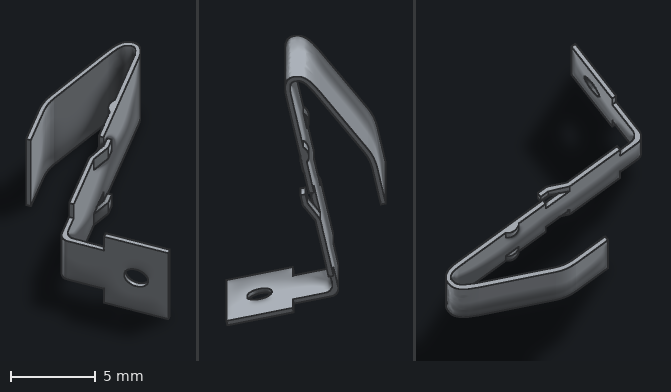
import cadquery as cq
import math

thickness = 0.3
clip_length = 14.85
strip_width = 6.0

foot_end = 6.8
foot_pad_length = 4.01
hole_diameter = 1.5
hole_edge_distance = 2.0
corner_radius = 0.5

neck_width = 3.49
neck_top = 1.81

arm_offset = 4.0
arm_bottom = 5.72
arm_angle = math.radians(25.3)
arm_bend_radius = 3.0
arm_bend_start = 8.08
arm_slope_end = 13.56

hairpin_crest_x = -0.39
hairpin_wall_end = 13.75

edge_depth = 1.0
tab_root = 5.52
tab_tip = 7.3
tab_offset = 0.52
tab_outer_kink = 6.64
tab_inner_kink = 6.73
bump_center = 9.79
bump_half_length = 0.49
bump_height = 0.21

cut_margin = 0.15


def extrude_band(profile, z_min, z_max):
    """Extrude an XY outline between two heights."""
    return profile.extrude(z_max - z_min).translate((0, 0, z_min))


def strip_profile():
    """Closed edge-on outline of the bent strip."""
    sin_a = math.sin(arm_angle)
    cos_a = math.cos(arm_angle)
    bend_center_x = arm_bend_radius - arm_offset

    def bend_point(radius, angle):
        """Point on the arm bend, turned by the angle from its lower end."""
        return (
            bend_center_x - radius * math.cos(angle),
            arm_bend_start + radius * math.sin(angle),
        )

    bend_top = bend_point(arm_bend_radius, arm_angle)
    slope_end = (
        bend_top[0] + (arm_slope_end - bend_top[1]) * math.tan(arm_angle),
        arm_slope_end,
    )
    inner_slope_end = (slope_end[0] + thickness * cos_a, slope_end[1] - thickness * sin_a)
    inner_radius = arm_bend_radius - thickness
    arm_inner = thickness - arm_offset
    slope_up = (sin_a, cos_a)
    slope_down = (-sin_a, -cos_a)

    return (
        cq.Workplane("XY")
        .moveTo(foot_end, 0)
        .lineTo(corner_radius, 0)
        .radiusArc((0, corner_radius), corner_radius)
        .lineTo(0, hairpin_wall_end)
        .spline(
            [(hairpin_crest_x, clip_length - thickness), inner_slope_end],
            tangents=[(0, 1), (-1, 0), slope_down],
            includeCurrent=True,
        )
        .lineTo(*bend_point(inner_radius, arm_angle))
        .threePointArc(bend_point(inner_radius, arm_angle / 2), (arm_inner, arm_bend_start))
        .lineTo(arm_inner, arm_bottom)
        .lineTo(-arm_offset, arm_bottom)
        .lineTo(-arm_offset, arm_bend_start)
        .threePointArc(bend_point(arm_bend_radius, arm_angle / 2), bend_top)
        .lineTo(*slope_end)
        .spline(
            [(hairpin_crest_x, clip_length), (thickness, hairpin_wall_end)],
            tangents=[slope_up, (1, 0), (0, -1)],
            includeCurrent=True,
        )
        .lineTo(thickness, thickness + corner_radius)
        .radiusArc((thickness + corner_radius, thickness), -corner_radius)
        .lineTo(foot_end, thickness)
        .close()
    )


def rectangle(x_min, x_max, y_min, y_max):
    """Rectangular XY outline between the given limits."""
    corners = [(x_min, y_min), (x_max, y_min), (x_max, y_max), (x_min, y_max)]
    return cq.Workplane("XY").polyline(corners).close()


def tab_profile():
    """Joggled tab that leans out of the wall and ends parallel to it."""
    return cq.Workplane("XY").polyline([
        (0, tab_root),
        (thickness, tab_root),
        (thickness + tab_offset, tab_outer_kink),
        (thickness + tab_offset, tab_tip),
        (tab_offset, tab_tip),
        (tab_offset, tab_inner_kink),
    ]).close()


def bump_profile():
    """Half-round bump on the arm side of the wall."""
    return (
        cq.Workplane("XY")
        .moveTo(thickness, bump_center - bump_half_length)
        .lineTo(0, bump_center - bump_half_length)
        .threePointArc((-bump_height, bump_center), (0, bump_center + bump_half_length))
        .lineTo(thickness, bump_center + bump_half_length)
        .close()
    )


half_width = strip_width / 2
neck_half = neck_width / 2
pad_start = foot_end - foot_pad_length

result = extrude_band(strip_profile(), -half_width, half_width)

for z_min, z_max in ((-half_width, edge_depth - half_width), (half_width - edge_depth, half_width)):
    result = result.cut(extrude_band(rectangle(0, thickness, tab_root, tab_tip), z_min, z_max))
    result = result.union(extrude_band(tab_profile(), z_min, z_max))
    result = result.union(extrude_band(bump_profile(), z_min, z_max))

for z_min, z_max in ((-half_width - cut_margin, -neck_half), (neck_half, half_width + cut_margin)):
    neck_relief = rectangle(-cut_margin, pad_start, -cut_margin, neck_top)
    result = result.cut(extrude_band(neck_relief, z_min, z_max))

hole = (
    cq.Workplane("XZ", origin=(foot_end - hole_edge_distance, 0, 0))
    .circle(hole_diameter / 2)
    .extrude(thickness, both=True)
)
result = result.cut(hole)